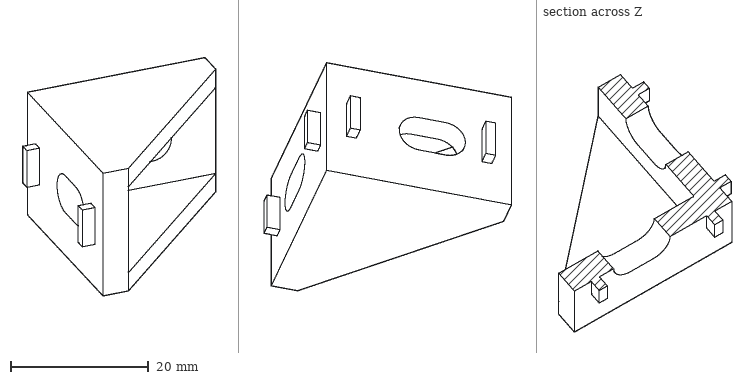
import cadquery as cq

leg = 28.0
height = 20.0
wall = 4.0
plate = 3.0

slot_length = 10.0
slot_width = 6.0
slot_center = 16.0

tab_width = 1.5
tab_height = 6.0
tab_depth = 2.0
tab_margin = 3.0

mid_height = height / 2
tab_inset = tab_margin + tab_width / 2
tab_centers = (tab_inset, leg - tab_inset)


def make_body():
    """Right-angled block with its outer corner cut off between the wall tips."""
    outline = [(0, 0), (leg, 0), (leg, wall), (wall, leg), (0, leg)]
    return cq.Workplane("XY").polyline(outline).close().extrude(height)


def make_pocket():
    """Space between the floor and the roof, open to the sloping side."""
    pocket_height = height - 2 * plate
    block = cq.Workplane("XY").box(leg, leg, pocket_height, centered=False)
    return block.translate((wall, wall, plate))


def make_slot():
    """Horizontal bolt slot through the wall on the XZ plane."""
    return (
        cq.Workplane("XZ")
        .center(slot_center, mid_height)
        .slot2D(slot_length, slot_width)
        .extrude(-wall)
    )


def make_tabs():
    """Pair of locating tabs standing out of the wall on the XZ plane."""
    return (
        cq.Workplane("XZ")
        .pushPoints([(x, mid_height) for x in tab_centers])
        .rect(tab_width, tab_height)
        .extrude(tab_depth)
    )


def on_other_leg(shape):
    """Swap X and Y by mirroring in the diagonal plane of the bracket."""
    return shape.mirror("YZ").rotate((0, 0, 0), (0, 0, 1), -90)


slot = make_slot()
tabs = make_tabs()

result = make_body().cut(make_pocket())
result = result.cut(slot).cut(on_other_leg(slot))
result = result.union(tabs).union(on_other_leg(tabs))